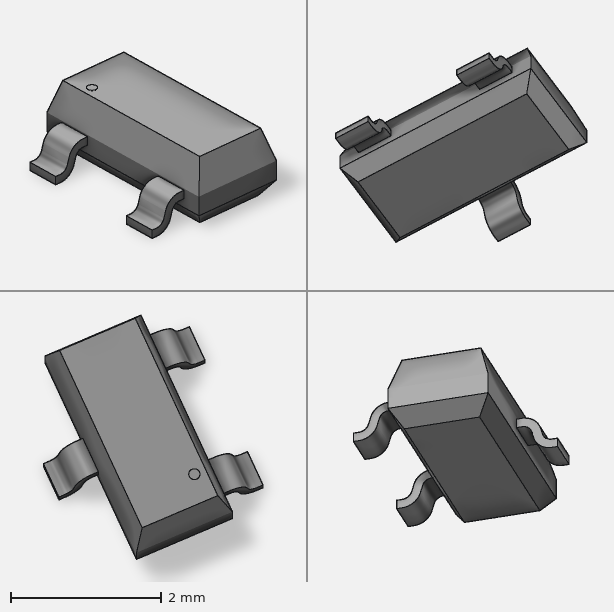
import cadquery as cq
import math

body_length = 3.0
body_width = 1.4
body_height = 1.04
band_bottom = 0.25
band_top = 0.54
top_inset = 0.15
bottom_inset = 0.175

overall_width = 2.55
lead_width = 0.51
lead_thickness = 0.13
lead_top = 0.515
lead_flat = 0.08
inner_radius = 0.135
outer_radius = inner_radius + lead_thickness
row_offset = 0.95

marker_diameter = 0.15
marker_depth = 0.015
marker_x = -row_offset
marker_y = -0.387


def frustum(start_z, height, inset):
    """Block that starts as the full body outline and shrinks by inset; a negative height goes down."""
    return (
        cq.Workplane("XY", origin=(0, 0, start_z))
        .rect(body_length, body_width)
        .workplane(offset=height)
        .rect(body_length - 2 * inset, body_width - 2 * inset)
        .loft(ruled=True)
    )


def make_marker():
    return (
        cq.Workplane("XY", origin=(marker_x, marker_y, body_height - marker_depth))
        .circle(marker_diameter / 2)
        .extrude(marker_depth)
    )


def make_housing(marker):
    band = (
        cq.Workplane("XY", origin=(0, 0, band_bottom))
        .rect(body_length, body_width)
        .extrude(band_top - band_bottom)
    )
    upper = frustum(band_top, body_height - band_top, top_inset)
    lower = frustum(band_bottom, -band_bottom, bottom_inset)
    return band.union(upper).union(lower).cut(marker)


def make_lead():
    """Lead that leaves the +Y face of the body, centred on X = 0."""
    root_y = body_width / 2
    tip_y = overall_width / 2
    upper_y = root_y + lead_flat
    upper_z = lead_top - outer_radius
    lower_y = tip_y - lead_flat
    lower_z = outer_radius

    run = lower_y - upper_y
    rise = lower_z - upper_z
    radius_sum = inner_radius + outer_radius
    slope_length = math.sqrt(run**2 + rise**2 - radius_sum**2)
    bend_angle = math.atan2(run, rise) - math.atan2(slope_length, radius_sum)

    def upper_point(radius, angle):
        return (upper_y + radius * math.sin(angle), upper_z + radius * math.cos(angle))

    def lower_point(radius, angle):
        return (lower_y - radius * math.sin(angle), lower_z - radius * math.cos(angle))

    half_angle = bend_angle / 2
    return (
        cq.Workplane("YZ", origin=(-lead_width / 2, 0, 0))
        .moveTo(root_y, lead_top)
        .lineTo(*upper_point(outer_radius, 0))
        .threePointArc(upper_point(outer_radius, half_angle), upper_point(outer_radius, bend_angle))
        .lineTo(*lower_point(inner_radius, bend_angle))
        .threePointArc(lower_point(inner_radius, half_angle), lower_point(inner_radius, 0))
        .lineTo(tip_y, lead_thickness)
        .lineTo(tip_y, 0)
        .lineTo(*lower_point(outer_radius, 0))
        .threePointArc(lower_point(outer_radius, half_angle), lower_point(outer_radius, bend_angle))
        .lineTo(*upper_point(inner_radius, bend_angle))
        .threePointArc(upper_point(inner_radius, half_angle), upper_point(inner_radius, 0))
        .lineTo(root_y, lead_top - lead_thickness)
        .close()
        .extrude(lead_width)
    )


marker = make_marker()
housing = make_housing(marker)

lead_places = [(0, 0), (-row_offset, 180), (row_offset, 180)]
leads = []
for lead_x, turn in lead_places:
    lead = make_lead().rotate((0, 0, 0), (0, 0, 1), turn).translate((lead_x, 0, 0))
    leads.append(lead.val())

result = cq.Compound.makeCompound([housing.val(), marker.val(), *leads])